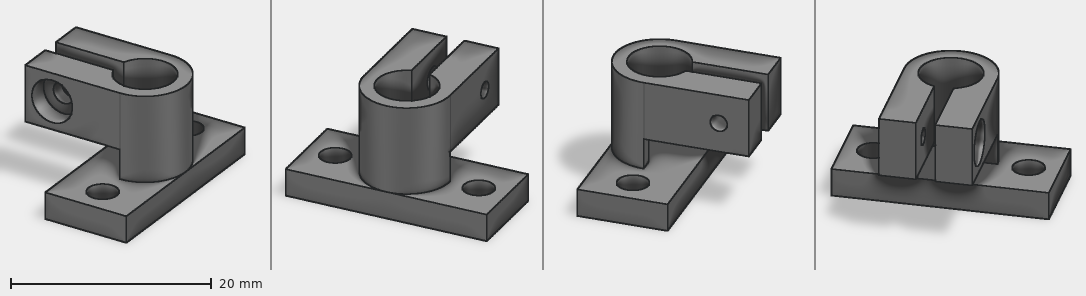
import cadquery as cq

base_length = 22.23
base_thickness = 3.0
clamp_diameter = 9.54
total_height = 12.7
total_width = 15.87
arm_height = 6.35
bore_diameter = 6.51
slot_width = 1.98
mount_hole_diameter = 3.27
mount_hole_spacing = 15.87
screw_inset = 3.18
screw_clearance_diameter = 2.45
screw_thread_diameter = 1.78
screw_head_diameter = 4.75
screw_head_depth = 2.2

clamp_radius = clamp_diameter / 2
arm_reach = total_width - clamp_radius
column_height = total_height - base_thickness
arm_bottom = total_height - arm_height
screw_x = screw_inset - arm_reach
screw_z = total_height - arm_height / 2


def make_base():
    """Flat mounting plate with two through holes."""
    plate = cq.Workplane("XY").box(clamp_diameter, base_length, base_thickness, centered=(True, True, False))
    holes = (
        cq.Workplane("XY")
        .pushPoints([(0, -mount_hole_spacing / 2), (0, mount_hole_spacing / 2)])
        .circle(mount_hole_diameter / 2)
        .extrude(base_thickness)
    )
    return plate.cut(holes)


def make_clamp():
    """Half-round column carrying two arms, bored and slotted down to the base."""
    column = (
        cq.Workplane("XY", origin=(0, 0, base_thickness))
        .moveTo(0, -clamp_radius)
        .threePointArc((clamp_radius, 0), (0, clamp_radius))
        .close()
        .extrude(column_height)
    )
    arms = cq.Workplane("XY", origin=(-arm_reach / 2, 0, arm_bottom)).box(
        arm_reach, clamp_diameter, arm_height, centered=(True, True, False)
    )
    bore = cq.Workplane("XY", origin=(0, 0, base_thickness)).circle(bore_diameter / 2).extrude(column_height)
    slot = cq.Workplane("XY", origin=(-arm_reach / 2, 0, arm_bottom)).box(
        arm_reach, slot_width, arm_height, centered=(True, True, False)
    )
    return column.union(arms).cut(bore).cut(slot)


def screw_cylinder(diameter, start_y, length):
    """Cylinder on the clamp screw axis, running toward +Y from start_y."""
    axis_plane = cq.Plane(origin=(screw_x, start_y, screw_z), xDir=(1, 0, 0), normal=(0, 1, 0))
    return cq.Workplane(axis_plane).circle(diameter / 2).extrude(length)


head_recess = screw_cylinder(screw_head_diameter, -clamp_radius, screw_head_depth)
clearance_hole = screw_cylinder(screw_clearance_diameter, -clamp_radius, clamp_radius)
thread_hole = screw_cylinder(screw_thread_diameter, 0, clamp_radius)

clamp = make_clamp().cut(head_recess).cut(clearance_hole).cut(thread_hole)
result = make_base().union(clamp)